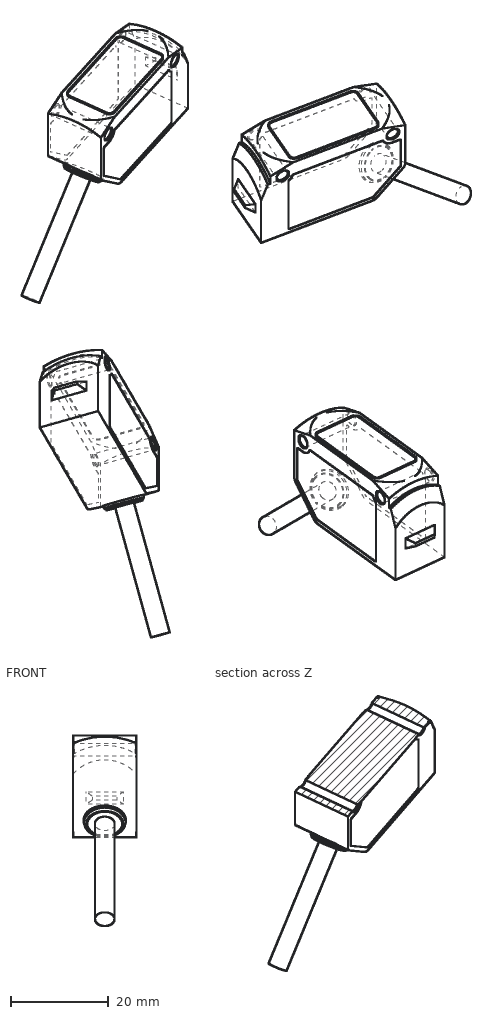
import cadquery as cq
import math

total_length = 52.95
total_width = 13.0
housing_length = 31.1
housing_height = 20.9

panel_thickness = 0.05
panel_margin = 1.05
panel_back = 26.9
panel_top = 17.2
panel_corner_radius = 0.3
hole_clearance_radius = 2.45
housing_width = total_width - 2 * panel_thickness

front_chamfer = 7.0
outlet_edge_radius = 1.95

bevel_center_drop = 0.29
bevel_side_drop = 1.65
bevel_side_run = 5.4

hole_radius = 1.25
hole_end_inset = 2.85
hole_top_inset = 2.95
countersink_radius = 1.5

window_width = 11.35
window_length = 20.6
window_corner_radius = 1.2
groove_width = 0.15
groove_depth = 0.15

cover_length = 2.1
cover_level_length = 0.6
cover_level_top = 18.85
cover_level_crown = 1.8
cover_back_top = 15.9
cover_back_crown = 2.85

knob_length = 1.65
knob_base = (7.75, 2.55)
knob_tip = (5.05, 0.8)
knob_center_height = 8.05

outlet_y = 3.55
outlet_z = front_chamfer - outlet_y
cable_radius = 2.0
grommet_base_radius = 4.35
grommet_shoulder_radius = 4.25
grommet_shoulder_height = 0.55
grommet_rim_radius = 3.8
grommet_rim_height = 1.05
grommet_recess_radius = 3.6
grommet_floor_height = 0.9

diagonal = math.sqrt(0.5)
cover_back = housing_length + cover_length
front_end = cover_back + knob_length - total_length
cable_length = (outlet_y - front_end) / diagonal - cable_radius
hole_height = housing_height - hole_top_inset
hole_positions = (hole_end_inset, housing_length - hole_end_inset)


def side_profile(points, thickness, start_x):
    """Prism along X from (y, z) points."""
    return cq.Workplane("YZ", origin=(start_x, 0, 0)).polyline(points).close().extrude(thickness)


def corner_outline(start, back, bottom, top, cut):
    """Rectangle in (y, z) whose lower front corner is cut off by the line y + z = cut."""
    return [(start, cut - start), (cut - bottom, bottom), (back, bottom), (back, top), (start, top)]


def make_housing():
    """Block with its lower front corner cut at 45 degrees and both edges of that cut rounded."""
    outline = corner_outline(0, housing_length, 0, housing_height, front_chamfer)
    block = side_profile(outline, housing_width, -housing_width / 2)
    for y, z in outline[:2]:
        corner = cq.NearestToPointSelector((0, y, z))
        block = block.edges("|X").edges(corner).fillet(outlet_edge_radius)
    return block


def make_bevel_cutter():
    """Crowned wedge that slopes up from the front face and leaves through the top face."""
    half_width = total_width / 2
    side_z = housing_height - bevel_side_drop
    length = 2 * bevel_side_run
    rise = length * bevel_side_drop / bevel_side_run
    profile = (
        cq.Workplane("XZ")
        .moveTo(-half_width, side_z)
        .threePointArc((0, housing_height - bevel_center_drop), (half_width, side_z))
        .lineTo(half_width, housing_height + bevel_side_drop)
        .lineTo(-half_width, housing_height + bevel_side_drop)
        .close()
    )
    face = cq.Face.makeFromWires(profile.wires().val())
    wedge = cq.Solid.extrudeLinear(face, cq.Vector(0, length, rise))
    return cq.Workplane(obj=wedge)


def make_panel(start_x):
    """Panel with concave reliefs around both mounting holes."""
    front_top = hole_height - hole_clearance_radius
    cut = front_chamfer + panel_margin / diagonal
    outline = corner_outline(panel_margin, panel_back, panel_margin, front_top, cut)
    panel = side_profile(outline, panel_thickness, start_x).edges("|X").fillet(panel_corner_radius)
    strip_bottom = front_top - hole_clearance_radius
    strip_outline = [
        (hole_end_inset, strip_bottom),
        (panel_back, strip_bottom),
        (panel_back, panel_top),
        (hole_end_inset, panel_top),
    ]
    panel = panel.union(side_profile(strip_outline, panel_thickness, start_x))
    reliefs = (
        cq.Workplane("YZ", origin=(start_x, 0, 0))
        .pushPoints([(y, hole_height) for y in hole_positions])
        .circle(hole_clearance_radius)
        .extrude(panel_thickness)
    )
    return panel.cut(reliefs)


def make_mounting_hole(y):
    """Through hole along X, countersunk at 45 degrees from both sides."""
    half_width = housing_width / 2
    sink_start = half_width - (countersink_radius - hole_radius)
    return (
        cq.Workplane("XY")
        .polyline([
            (-half_width, 0),
            (-half_width, countersink_radius),
            (-sink_start, hole_radius),
            (sink_start, hole_radius),
            (half_width, countersink_radius),
            (half_width, 0),
        ])
        .close()
        .revolve(360, (0, 0, 0), (1, 0, 0))
        .translate((0, y, hole_height))
    )


def make_window_groove():
    """Rounded rectangular frame, half sunk into the top face."""
    def rounded_block(inset):
        return (
            cq.Workplane("XY")
            .box(window_width - 2 * inset, window_length - 2 * inset, 2 * groove_depth)
            .edges("|Z")
            .fillet(window_corner_radius - inset)
        )

    frame = rounded_block(0).cut(rounded_block(groove_width))
    return frame.translate((0, housing_length / 2, housing_height))


def cover_section(y, top, crown):
    """Cross-section of the cover: a rectangle with an arched top."""
    half_width = housing_width / 2
    return (
        cq.Workplane("XZ", origin=(0, y, 0))
        .moveTo(-half_width, 0)
        .lineTo(half_width, 0)
        .lineTo(half_width, top - crown)
        .threePointArc((0, top), (-half_width, top - crown))
        .close()
    )


def make_cover():
    """Level arched strip behind the housing, then a crowned slope down to the back face."""
    flat_end = housing_length + cover_level_length
    flat = cover_section(housing_length, cover_level_top, cover_level_crown).extrude(-cover_level_length)
    sections = [
        cover_section(flat_end, cover_level_top, cover_level_crown).wires().val(),
        cover_section(cover_back, cover_back_top, cover_back_crown).wires().val(),
    ]
    slope = cq.Solid.makeLoft(sections, True)
    return flat.union(cq.Workplane(obj=slope))


def make_knob():
    """Rectangular frustum pointing backward."""
    return (
        cq.Workplane("XZ", origin=(0, cover_back, knob_center_height))
        .rect(*knob_base)
        .workplane(offset=-knob_length)
        .rect(*knob_tip)
        .loft(ruled=True)
    )


def make_cable_outlet():
    """Grommet and cable turned as one piece, pointing down and forward at 45 degrees."""
    outlet_plane = cq.Plane(
        origin=(0, outlet_y, outlet_z),
        xDir=(1, 0, 0),
        normal=(0, diagonal, -diagonal),
    )
    return (
        cq.Workplane(outlet_plane)
        .polyline([
            (0, 0),
            (grommet_base_radius, 0),
            (grommet_shoulder_radius, grommet_shoulder_height),
            (grommet_rim_radius, grommet_rim_height),
            (grommet_recess_radius, grommet_rim_height),
            (grommet_recess_radius, grommet_floor_height),
            (cable_radius, grommet_floor_height),
            (cable_radius, cable_length),
            (0, cable_length),
        ])
        .close()
        .revolve(360, (0, 0, 0), (0, 1, 0))
    )


housing = make_housing()
front_bevel = make_bevel_cutter()
back_bevel = front_bevel.mirror("XZ").translate((0, housing_length, 0))
housing = housing.cut(front_bevel).cut(back_bevel).cut(make_window_groove())
for hole_y in hole_positions:
    housing = housing.cut(make_mounting_hole(hole_y))
for panel_x in (-total_width / 2, housing_width / 2):
    housing = housing.union(make_panel(panel_x))

result = housing.union(make_cover()).union(make_knob()).union(make_cable_outlet())